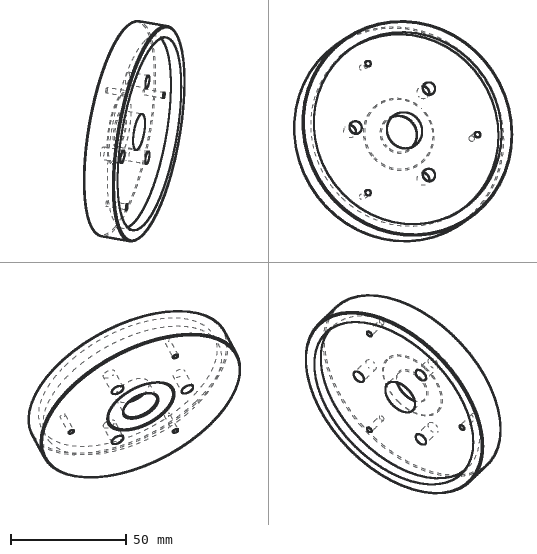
import cadquery as cq
import math

disc_diameter = 95
thickness = 14.0
edge_chamfer = 0.5
front_x = -thickness / 2

back_recess_diameter = 85.0
back_recess_depth = 4.75

bore_diameter = 16.0
bore_chamfer = 0.5
hub_recess_diameter = 32.0
hub_floor_diameter = 30.9
hub_recess_depth = 0.24

hub_floor_x = front_x + hub_recess_depth
back_floor_x = front_x + thickness - back_recess_depth

holes_per_ring = 3
large_hole_diameter = 5.5
large_ring_radius = 22.1
large_ring_angle = 180
small_hole_diameter = 2.5
small_ring_radius = 33.1
small_ring_angle = large_ring_angle + 180 / holes_per_ring


def make_disc():
    """Plain disc with both rims chamfered."""
    disc = cq.Workplane("YZ", origin=(front_x, 0, 0)).circle(disc_diameter / 2).extrude(thickness)
    return disc.faces("<X or >X").edges().chamfer(edge_chamfer)


def make_back_recess():
    """Round recess sunk into the back face, leaving the web."""
    floor = cq.Workplane("YZ", origin=(back_floor_x, 0, 0))
    return floor.circle(back_recess_diameter / 2).extrude(back_recess_depth)


def make_hub_recess():
    """Shallow conical recess in the front face, narrowing toward its floor."""
    wall_width = (hub_recess_diameter - hub_floor_diameter) / 2
    wall_taper = math.degrees(math.atan2(wall_width, hub_recess_depth))
    face = cq.Workplane("YZ", origin=(front_x, 0, 0))
    return face.circle(hub_recess_diameter / 2).extrude(hub_recess_depth, taper=wall_taper)


def make_bore():
    """Bore between the two recess floors, chamfered at its front mouth."""
    floor = cq.Workplane("YZ", origin=(hub_floor_x, 0, 0))
    bore = floor.circle(bore_diameter / 2).extrude(back_floor_x - hub_floor_x)
    mouth = floor.circle(bore_diameter / 2 + bore_chamfer).extrude(bore_chamfer, taper=45)
    return bore.union(mouth)


def make_hole_ring(diameter, ring_radius, start_angle):
    """Evenly spaced through holes, with angles measured from +Y toward +Z."""
    face = cq.Workplane("YZ", origin=(front_x, 0, 0))
    centers = face.polarArray(ring_radius, start_angle, 360, holes_per_ring)
    return centers.circle(diameter / 2).extrude(thickness)


result = (
    make_disc()
    .cut(make_back_recess())
    .cut(make_hub_recess())
    .cut(make_bore())
    .cut(make_hole_ring(large_hole_diameter, large_ring_radius, large_ring_angle))
    .cut(make_hole_ring(small_hole_diameter, small_ring_radius, small_ring_angle))
)